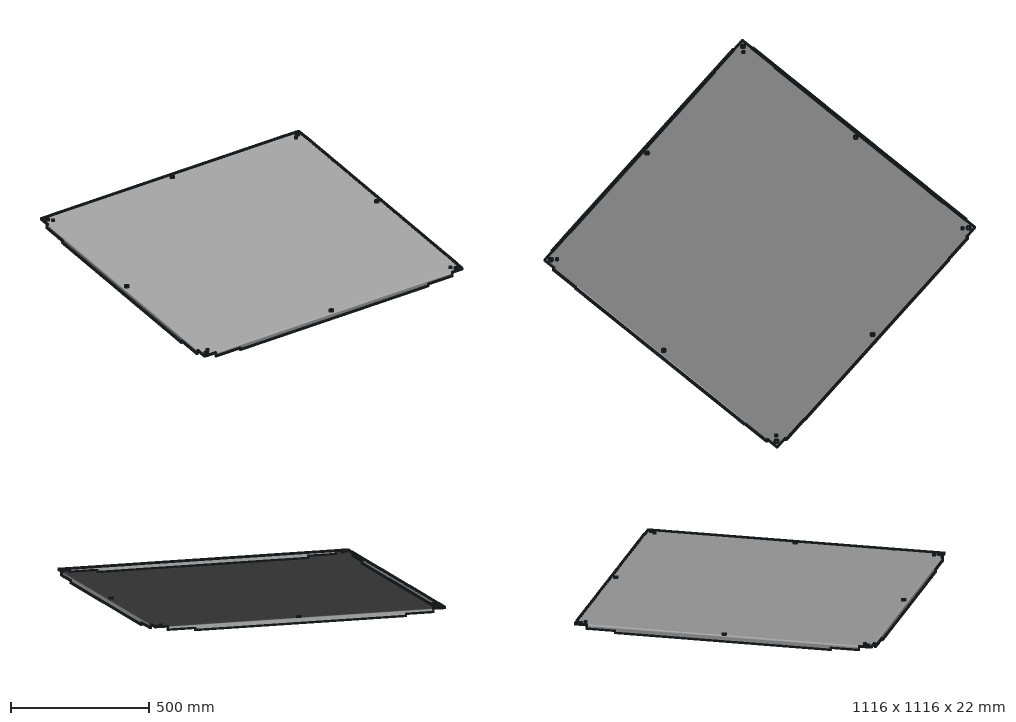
import cadquery as cq

panel_size = 1116.0
panel_height = 22.0

sheet = 3.0
bend_inner_radius = 3.0
bend_outer_radius = bend_inner_radius + sheet

corner_inset = 4.7
plate_size = panel_size - 2 * corner_inset
bend_line_size = panel_size - 2 * bend_outer_radius

flange_end_gap = 50.0
flange_length = panel_size - 2 * flange_end_gap
shallow_depth = 15.0
deep_end_gap = 155.0
deep_length = panel_size - 2 * deep_end_gap

mount_hole_diameter = 12.0
mount_hole_inset = 21.0
small_hole_diameter = 7.1
small_hole_inset = 37.0


def make_plate():
    """Square sheet, cut back to the bend lines along each flange."""
    sheet_plane = cq.Workplane("XY").workplane(offset=panel_height - sheet)
    inner_square = sheet_plane.rect(bend_line_size, bend_line_size).extrude(sheet)
    full_square = sheet_plane.rect(plate_size, plate_size).extrude(sheet)
    along_x = sheet_plane.rect(flange_length, panel_size).extrude(sheet)
    along_y = sheet_plane.rect(panel_size, flange_length).extrude(sheet)
    return full_square.cut(along_x).cut(along_y).union(inner_square)


def make_flange_strip(length, depth):
    """Bent strip along the +X edge, hanging down to the given depth below the top face."""
    edge = panel_size / 2
    bend_start = edge - bend_outer_radius
    bend_end = panel_height - bend_outer_radius
    profile = (
        cq.Workplane("XZ")
        .moveTo(bend_start, panel_height)
        .radiusArc((edge, bend_end), bend_outer_radius)
        .lineTo(edge, panel_height - depth)
        .lineTo(edge - sheet, panel_height - depth)
        .lineTo(edge - sheet, bend_end)
        .radiusArc((bend_start, panel_height - sheet), -bend_inner_radius)
        .close()
    )
    return profile.extrude(length / 2, both=True)


def make_flange():
    """Flange of the +X edge with its stepped lower rim."""
    shallow_strip = make_flange_strip(flange_length, shallow_depth)
    deep_strip = make_flange_strip(deep_length, panel_height)
    return shallow_strip.union(deep_strip)


def corner_points(inset):
    """One point near each corner, the same distance in from both edges."""
    reach = panel_size / 2 - inset
    return [(x, y) for x in (-reach, reach) for y in (-reach, reach)]


def mid_edge_points(inset):
    """One point at the middle of each edge."""
    reach = panel_size / 2 - inset
    return [(reach, 0), (0, reach), (-reach, 0), (0, -reach)]


def make_holes(points, diameter):
    """Cutters that pass right through the plate."""
    return cq.Workplane("XY").pushPoints(points).circle(diameter / 2).extrude(panel_height)


result = make_plate()

flange = make_flange()
for quarter_turn in range(4):
    result = result.union(flange.rotate((0, 0, 0), (0, 0, 1), 90 * quarter_turn))

mount_points = corner_points(mount_hole_inset) + mid_edge_points(mount_hole_inset)
result = result.cut(make_holes(mount_points, mount_hole_diameter))
result = result.cut(make_holes(corner_points(small_hole_inset), small_hole_diameter))